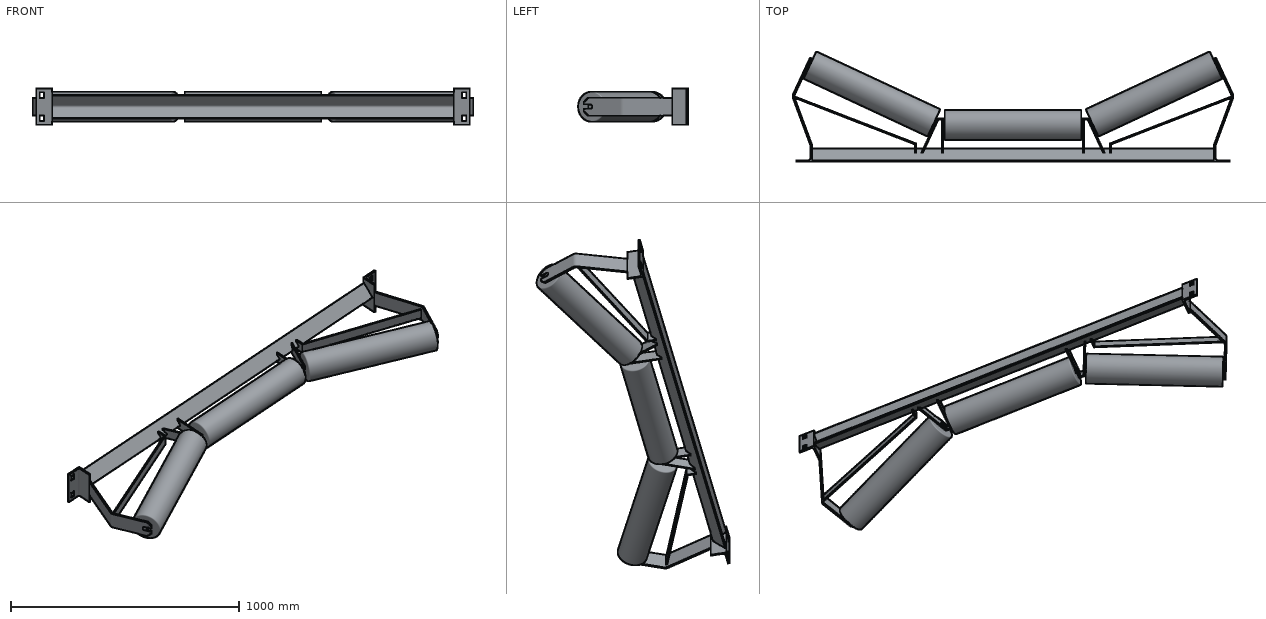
import cadquery as cq
import math


trough_angle = 25.0
roller_diameter = 133.0
roller_length = 600.0
roller_edge_radius = 5.0
shaft_diameter = 20.0
roller_end_gap = 5.0
centre_axis_height = 161.0
side_axis_inner_x = 346.0
side_axis_inner_y = 169.99

beam_leg = 75.0
beam_thickness = 8.0
beam_root_radius = 10.0

strip_thickness = 6.0
strip_width = 50.0
foot_y = 38.5
saddle_top = 190.0
strut_foot_x = 424.0
strut_bend_y = 80.0
strut_top = (955.0, 285.5)

cleat_leg = 70.0
cleat_thickness = 7.0
cleat_root_radius = 9.0
cleat_length = 160.0
cleat_inner_x = 880.0
cleat_hole_size = (18.0, 25.0)
cleat_hole_x = 925.0
cleat_hole_pitch = 100.0
arm_thickness = 8.0
arm_width = 78.0
arm_bend_radius = 14.0
overall_length = 1931.39
arm_tip_above_axis = 30.0
arm_tip_chamfer = 18.0

slope = math.radians(trough_angle)
axis_dir = (math.cos(slope), -math.sin(slope))
across_dir = (math.sin(slope), math.cos(slope))
roller_radius = roller_diameter / 2
beam_half_height = beam_leg / math.sqrt(2)
beam_apex_y = (beam_leg + beam_thickness) / math.sqrt(2)
side_inner_end = (-side_axis_inner_x, side_axis_inner_y)
centre_leg_face = roller_length / 2 + roller_end_gap


def from_inner_end(along, across):
    """Point given along and across the left roller axis, from the roller's inner end."""
    return (
        side_inner_end[0] + along * axis_dir[0] + across * across_dir[0],
        side_inner_end[1] + along * axis_dir[1] + across * across_dir[1],
    )


def slanted_x(along, y):
    """X, at height y, of the plane square to the left roller axis at that distance along it."""
    return side_inner_end[0] + (along - (y - side_inner_end[1]) * axis_dir[1]) / axis_dir[0]


def slanted_plane(along):
    """Workplane square to the left roller axis: local x runs up the bracket, local y along Z."""
    x, y = from_inner_end(along, 0)
    return cq.Plane(
        origin=(x, y, 0),
        xDir=(across_dir[0], across_dir[1], 0),
        normal=(axis_dir[0], axis_dir[1], 0),
    )


def mirrored(body):
    return body.mirror("YZ")


def plate(points, width):
    """Closed outline in XY, extruded symmetrically across Z."""
    return cq.Workplane("XY").polyline(points).close().extrude(width / 2, both=True)


def roller(plane):
    """Roller bored for its shaft, starting at the plane and running along its normal."""
    shell = cq.Workplane(plane).circle(roller_radius).extrude(roller_length)
    shell = shell.edges("%CIRCLE").fillet(roller_edge_radius)
    bore = cq.Workplane(plane).circle(shaft_diameter / 2).extrude(roller_length)
    return shell.cut(bore)


def shaft(plane, start_reach, end_reach):
    """Shaft along the plane's normal, standing out of both roller ends."""
    return (
        cq.Workplane(plane)
        .workplane(offset=-start_reach)
        .circle(shaft_diameter / 2)
        .extrude(roller_length + start_reach + end_reach)
    )


inner_reach = roller_end_gap + strip_thickness
outer_reach = roller_end_gap + arm_thickness
centre_plane = cq.Plane(
    origin=(-roller_length / 2, centre_axis_height, 0), xDir=(0, 0, 1), normal=(1, 0, 0)
)
centre_roller = roller(centre_plane)
centre_shaft = shaft(centre_plane, inner_reach, inner_reach)
left_roller = roller(slanted_plane(-roller_length))
left_shaft = shaft(slanted_plane(-roller_length), outer_reach, inner_reach)


def shaft_slot(plane, depth, height):
    """Round-bottomed slot around the shaft, open upwards, cut from the plane along its normal."""
    seat = cq.Workplane(plane).circle(shaft_diameter / 2).extrude(depth)
    throat = cq.Workplane(plane).center(height / 2, 0).rect(height, shaft_diameter).extrude(depth)
    return seat.union(throat)


def beam_section():
    tip_depth = beam_thickness / math.sqrt(2)
    inner_apex_y = beam_apex_y - beam_thickness * math.sqrt(2)
    return [
        (beam_apex_y, 0),
        (tip_depth, beam_half_height),
        (0, beam_half_height - tip_depth),
        (inner_apex_y, 0),
        (0, tip_depth - beam_half_height),
        (tip_depth, -beam_half_height),
    ]


def beam_prism(points):
    """YZ outline extruded over the length between the end cleats."""
    return cq.Workplane("YZ").polyline(points).close().extrude(cleat_inner_x, both=True)


def angle_iron():
    inner_apex = (0, beam_apex_y - beam_thickness * math.sqrt(2), 0)
    beam = beam_prism(beam_section())
    return beam.edges(cq.selectors.NearestToPointSelector(inner_apex)).fillet(beam_root_radius)


def beam_core():
    """Everything under the roof of the angle, used to notch the feet that sit on it."""
    return beam_prism([(beam_apex_y, 0), (0, beam_apex_y), (0, -beam_apex_y)])


def left_saddle():
    """Slanted leg for the side roller and upright leg for the centre roller, joined by a web."""
    near = roller_end_gap
    far = roller_end_gap + strip_thickness
    web_underside = saddle_top - strip_thickness
    saddle = plate(
        [
            (slanted_x(near, foot_y), foot_y),
            (slanted_x(near, saddle_top), saddle_top),
            (-centre_leg_face, saddle_top),
            (-centre_leg_face, foot_y),
            (-centre_leg_face - strip_thickness, foot_y),
            (-centre_leg_face - strip_thickness, web_underside),
            (slanted_x(far, web_underside), web_underside),
            (slanted_x(far, foot_y), foot_y),
        ],
        strip_width,
    )
    side_slot = shaft_slot(slanted_plane(near), strip_thickness, saddle_top - foot_y)
    leg_plane = cq.Plane(
        origin=(-centre_leg_face - strip_thickness, centre_axis_height, 0),
        xDir=(0, 1, 0),
        normal=(1, 0, 0),
    )
    centre_slot = shaft_slot(leg_plane, strip_thickness, saddle_top - foot_y)
    return saddle.cut(side_slot).cut(centre_slot)


def left_strut():
    """Inclined strip from the arm bend down to an upright foot on the transom."""
    top_x, top_y = -strut_top[0], strut_top[1]
    run = -strut_foot_x - top_x
    tilt = math.atan2(top_y - strut_bend_y, run)
    drop = strip_thickness / math.cos(tilt)
    inner_bend_y = strut_bend_y + strip_thickness * math.tan(tilt) - drop
    return plate(
        [
            (top_x, top_y),
            (-strut_foot_x, strut_bend_y),
            (-strut_foot_x, foot_y),
            (-strut_foot_x - strip_thickness, foot_y),
            (-strut_foot_x - strip_thickness, inner_bend_y),
            (top_x, top_y - drop),
        ],
        strip_width,
    )


def left_arm():
    """Strip leaning out from the cleat, bent back square to the side roller axis."""
    outer_along = -roller_length - roller_end_gap - arm_thickness
    outer_radius = arm_bend_radius + arm_thickness
    bend_x = outer_radius - overall_length / 2
    bend_along = outer_along + outer_radius
    bend_y = side_inner_end[1] + (bend_along - (bend_x - side_inner_end[0]) * axis_dir[0]) / axis_dir[1]

    foot_x = -cleat_inner_x - cleat_thickness
    reach_x = foot_x - bend_x
    reach_y = bend_y - cleat_leg
    lean = math.atan2(reach_x, reach_y) + math.asin(outer_radius / math.hypot(reach_x, reach_y))

    def on_bend(radius, angle):
        return (bend_x - radius * math.cos(angle), bend_y + radius * math.sin(angle))

    mid_bend = (slope - lean) / 2
    outline = (
        cq.Workplane("XY")
        .moveTo(foot_x, cleat_leg)
        .lineTo(*on_bend(outer_radius, -lean))
        .threePointArc(on_bend(outer_radius, mid_bend), on_bend(outer_radius, slope))
        .lineTo(*from_inner_end(outer_along, arm_tip_above_axis))
        .lineTo(*from_inner_end(outer_along + arm_thickness, arm_tip_above_axis))
        .lineTo(*on_bend(arm_bend_radius, slope))
        .threePointArc(on_bend(arm_bend_radius, mid_bend), on_bend(arm_bend_radius, -lean))
        .lineTo(foot_x + arm_thickness / math.cos(lean), cleat_leg)
        .close()
    )
    arm = outline.extrude(arm_width / 2, both=True)
    tip = from_inner_end(outer_along + arm_thickness / 2, arm_tip_above_axis)
    for side in (-1, 1):
        corner = (tip[0], tip[1], side * arm_width / 2)
        arm = arm.edges(cq.selectors.NearestToPointSelector(corner)).chamfer(arm_tip_chamfer)
    return arm.cut(shaft_slot(slanted_plane(outer_along), arm_thickness, roller_radius))


def left_cleat():
    """Rolled angle: one leg closes the transom, the other is the drilled mounting flange."""
    heel_x = -cleat_inner_x
    leg_outer_x = heel_x - cleat_thickness
    cleat = plate(
        [
            (heel_x, 0),
            (heel_x, cleat_leg),
            (leg_outer_x, cleat_leg),
            (leg_outer_x, cleat_thickness),
            (heel_x - cleat_leg, cleat_thickness),
            (heel_x - cleat_leg, 0),
        ],
        cleat_length,
    )
    root = (leg_outer_x, cleat_thickness, 0)
    cleat = cleat.edges(cq.selectors.NearestToPointSelector(root)).fillet(cleat_root_radius)
    hole_length = 2 * cleat_thickness
    for side in (-1, 1):
        hole = cq.Workplane("XY").box(cleat_hole_size[0], hole_length, cleat_hole_size[1])
        cleat = cleat.cut(hole.translate((-cleat_hole_x, 0, side * cleat_hole_pitch / 2)))
    return cleat


left_support = left_cleat().union(left_arm())

left_brackets = left_saddle().union(left_strut()).cut(beam_core()).cut(left_support)
transom = angle_iron().union(left_brackets).union(mirrored(left_brackets))

bodies = [transom, centre_roller, centre_shaft]
for left_body in (left_support, left_roller, left_shaft):
    bodies += [left_body, mirrored(left_body)]

result = cq.Compound.makeCompound([body.val() for body in bodies])